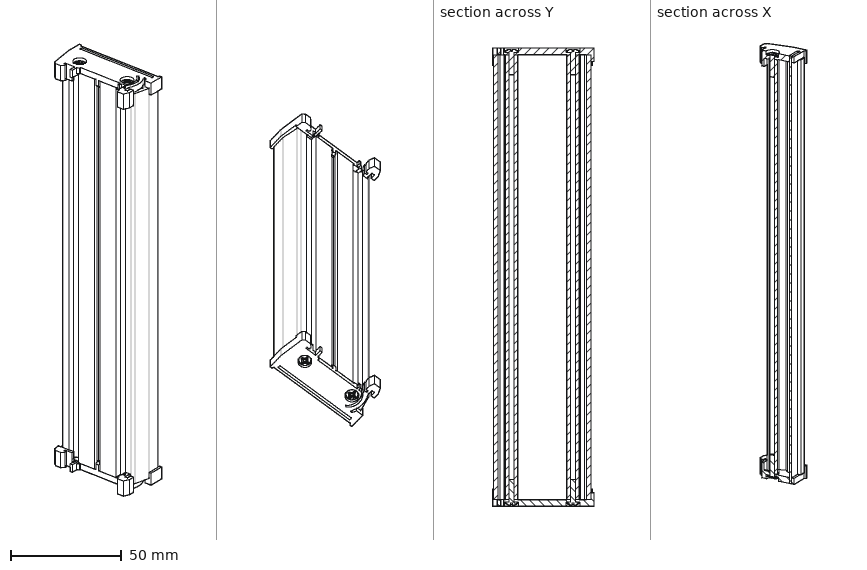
import cadquery as cq


LENGTH = 206.8
HALF_LENGTH = LENGTH / 2
CAP_WIDTH = 48.2
CAP_HALF_WIDTH = CAP_WIDTH / 2
CAP_PLATE = 3.0
PROFILE_END = HALF_LENGTH - CAP_PLATE
SIDE_BEND_Y = -7.7

PROFILE_HALF_WIDTH = 23.0
PROFILE_FOOT_HALF_WIDTH = 20.9
PROFILE_REAR_Y = -0.2
PROFILE_FRONT_Y = -16.5
CORNER_RADIUS = 1.5
WALL = 1.9
LIP_INNER_X = 19.0
LEDGE_FRONT_Y = -7.5
LEDGE_ROOT = (20.7, -9.0)
FLOOR_INNER_Y = -12.5
RECESS_Y = -14.0
RECESS_INNER_X = 11.0
RECESS_OUTER_X = 16.5
RECESS_DRAFT = 0.6
GROOVE_HALF_WIDTH = 0.8
GROOVE_MOUTH_HALF_WIDTH = 1.7
GROOVE_MOUTH_DEPTH = 0.8
GROOVE_DEPTH = 1.9

BOARD_HALF_WIDTH = PROFILE_HALF_WIDTH - WALL
BOARD_REAR_Y = -2.0
BOARD_THICKNESS = 1.2
BOARD_FRONT_Y = BOARD_REAR_Y - BOARD_THICKNESS

SCREW_X = 13.9
SCREW_Y = -12.2
COUNTERBORE_RADIUS = 3.0
COUNTERBORE_DEPTH = 1.9
HEAD_RADIUS = 2.7
HEAD_CROWN_RADIUS = 1.5
HEAD_RIM = 0.6
HEAD_CROWN = 0.6
SHANK_RADIUS = 1.0
SHANK_LENGTH = 10.3
CROSS_LENGTH = 3.7
CROSS_WIDTH = 0.8
CROSS_DEPTH = 0.8
BOSS_RADIUS = 2.9

CAP_REAR_Y = -0.8
CAP_LIP_X = 23.0
CAP_LIP_FOOT_X = 22.5
CAP_FRONT_Y = PROFILE_FRONT_Y
SKIRT_LENGTH = 6.2
FOOT_LENGTH = 7.9
SKIRT_INNER_X = 20.7
HOOK_SIDE_X = -22.1
HOOK_FRONT_Y = -20.9
HOOK_CHAMFER_X = 1.5
HOOK_CHAMFER_Y = 1.0
HOOK_ROOT_X = -17.8
HOOK_UNDERCUT_Y = -18.5
HOOK_TIP_X = -16.3
HOOK_TIP_Y = (-19.5, -18.6)
FOOT_STEP_Y = -17.8
FOOT_END_X = -13.6
FINGER_X = (-12.2, -11.0)
FINGER_LENGTH = 4.0
FINGER_ROOT_X = -9.7
FINGER_ROOT_Y = -17.2
NUB_X = (13.2, 14.3)
NUB_FRONT_Y = -18.0
CLIP_LEFT_X = 16.5
CLIP_RIGHT_X = 22.3
CLIP_FRONT_Y = -23.5
ARM_RIGHT_X = 19.0
ARM_LEFT_X = 16.8
ARM_OUTER_MIDDLE = (20.3, -11.2)
ARM_OUTER_END_Y = -17.2
ARM_INNER_MIDDLE = (18.6, -12.0)
SLOT_PLATE_MIDDLE = (17.5, -12.0)
SLOT_PLATE_X = 16.0
SLOT_END = [(15.5, -6.0), (14.9, -6.6)]
RELIEF = [(20.5, SIDE_BEND_Y), (19.5, -5.5), (18.6, -5.5), (ARM_RIGHT_X, -7.0)]
CLIP_SLOT_X = 20.5
CLIP_SLOT_Y = -20.0
CLIP_NECK_X = 17.8
CLIP_HEAD = [
    (ARM_RIGHT_X, CLIP_SLOT_Y),
    (CLIP_SLOT_X, CLIP_SLOT_Y),
    (CLIP_SLOT_X, FOOT_STEP_Y),
    (CLIP_RIGHT_X, FOOT_STEP_Y),
    (CLIP_RIGHT_X, -20.7),
    (21.0, CLIP_FRONT_Y),
    (17.5, CLIP_FRONT_Y),
    (CLIP_LEFT_X, -21.0),
    (CLIP_LEFT_X, -18.8),
    (CLIP_NECK_X, -18.8),
    (CLIP_NECK_X, NUB_FRONT_Y),
    (CLIP_LEFT_X, NUB_FRONT_Y),
]
TAB_LENGTH = 7.0
TAB_CHAMFER = 1.0
KEY_LENGTH = 4.0
KEY_INNER_X = RECESS_INNER_X + RECESS_DRAFT
KEY_OUTER_X = 14.5


def block(x_range, y_range, z_range):
    """Box between two limits along each axis."""
    size = [high - low for low, high in (x_range, y_range, z_range)]
    corner = (x_range[0], y_range[0], z_range[0])
    return cq.Workplane("XY").box(*size, centered=False).translate(corner)


def mirrored_ring(half):
    """Closed point list from its x > 0 half, given from rear to front."""
    return half + [(-x, y) for x, y in reversed(half)]


def extrude_between(outline, z_low, z_high):
    """Extrude a flat XY outline from one height to another."""
    return outline.extrude(z_high - z_low).translate((0, 0, z_low))


def profile_envelope():
    """Solid outer shape of the profile without its grooves or channel."""
    points = mirrored_ring([
        (PROFILE_HALF_WIDTH, PROFILE_REAR_Y),
        (PROFILE_HALF_WIDTH, SIDE_BEND_Y),
        (PROFILE_FOOT_HALF_WIDTH, PROFILE_FRONT_Y),
    ])
    body = extrude_between(cq.Workplane("XY").polyline(points).close(), -PROFILE_END, PROFILE_END)
    return body.edges("|Z").edges("<Y or >Y").fillet(CORNER_RADIUS)


def channel():
    """Open channel with a slot on each side that holds the board."""
    inner_foot_x = PROFILE_FOOT_HALF_WIDTH - WALL
    outer_floor_y = PROFILE_FRONT_Y + WALL
    points = mirrored_ring([
        (LIP_INNER_X, PROFILE_REAR_Y),
        (LIP_INNER_X, BOARD_REAR_Y),
        (BOARD_HALF_WIDTH, BOARD_REAR_Y),
        (BOARD_HALF_WIDTH, BOARD_FRONT_Y),
        (LIP_INNER_X, BOARD_FRONT_Y),
        (LIP_INNER_X, LEDGE_FRONT_Y),
        LEDGE_ROOT,
        (inner_foot_x, outer_floor_y),
        (RECESS_OUTER_X + RECESS_DRAFT, outer_floor_y),
        (RECESS_OUTER_X, FLOOR_INNER_Y),
    ])
    return extrude_between(cq.Workplane("XY").polyline(points).close(), -PROFILE_END, PROFILE_END)


def floor_grooves():
    """Two wide drafted recesses and the narrow central groove in the front face."""
    recess = [
        (RECESS_INNER_X, PROFILE_FRONT_Y),
        (RECESS_INNER_X + RECESS_DRAFT, RECESS_Y),
        (RECESS_OUTER_X - RECESS_DRAFT, RECESS_Y),
        (RECESS_OUTER_X, PROFILE_FRONT_Y),
    ]
    groove = mirrored_ring([
        (GROOVE_HALF_WIDTH, PROFILE_FRONT_Y + GROOVE_DEPTH),
        (GROOVE_HALF_WIDTH, PROFILE_FRONT_Y + GROOVE_MOUTH_DEPTH),
        (GROOVE_MOUTH_HALF_WIDTH, PROFILE_FRONT_Y),
    ])
    right = extrude_between(cq.Workplane("XY").polyline(recess).close(), -PROFILE_END, PROFILE_END)
    centre = extrude_between(cq.Workplane("XY").polyline(groove).close(), -PROFILE_END, PROFILE_END)
    return right.union(right.mirror("YZ")).union(centre)


def screw_columns(radius, z_low, z_high):
    """Round columns on both screw axes."""
    circles = cq.Workplane("XY").pushPoints([(-SCREW_X, SCREW_Y), (SCREW_X, SCREW_Y)]).circle(radius)
    return extrude_between(circles, z_low, z_high)


def make_profile():
    """Extruded channel with a drilled screw boss in each front corner."""
    body = profile_envelope().cut(channel())
    body = body.union(screw_columns(BOSS_RADIUS, -PROFILE_END, PROFILE_END))
    body = body.cut(floor_grooves())
    return body.cut(screw_columns(SHANK_RADIUS, -PROFILE_END, PROFILE_END))


def make_board():
    """Flat board that runs the full length through both caps."""
    return block(
        (-BOARD_HALF_WIDTH, BOARD_HALF_WIDTH),
        (BOARD_FRONT_Y, BOARD_REAR_Y),
        (-HALF_LENGTH, HALF_LENGTH),
    )


def cap_outline():
    """Cap contour with the rigid hook on the left and the sprung clip on the right."""
    outline = cq.Workplane("XY").moveTo(-CAP_HALF_WIDTH, 0)
    outline = outline.lineTo(-CAP_LIP_X, 0).lineTo(-CAP_LIP_FOOT_X, CAP_REAR_Y)
    outline = outline.lineTo(CAP_LIP_FOOT_X, CAP_REAR_Y).lineTo(CAP_LIP_X, 0)
    outline = outline.lineTo(CAP_HALF_WIDTH, 0).lineTo(CAP_HALF_WIDTH, SIDE_BEND_Y)
    for point in RELIEF:
        outline = outline.lineTo(*point)
    outline = outline.threePointArc(ARM_OUTER_MIDDLE, (ARM_RIGHT_X, ARM_OUTER_END_Y))
    for point in CLIP_HEAD:
        outline = outline.lineTo(*point)
    outline = outline.lineTo(ARM_LEFT_X, CAP_FRONT_Y).threePointArc(ARM_INNER_MIDDLE, SLOT_END[0])
    outline = outline.lineTo(*SLOT_END[1]).threePointArc(SLOT_PLATE_MIDDLE, (SLOT_PLATE_X, CAP_FRONT_Y))
    outline = outline.lineTo(NUB_X[1], CAP_FRONT_Y).lineTo(NUB_X[1], NUB_FRONT_Y)
    outline = outline.lineTo(NUB_X[0], NUB_FRONT_Y).lineTo(NUB_X[0], CAP_FRONT_Y)
    outline = outline.lineTo(FINGER_ROOT_X, CAP_FRONT_Y)
    outline = outline.lineTo(FINGER_ROOT_X, FINGER_ROOT_Y).lineTo(FINGER_X[1], FOOT_STEP_Y)
    outline = outline.lineTo(FINGER_X[1], HOOK_FRONT_Y).lineTo(FINGER_X[0], HOOK_FRONT_Y)
    outline = outline.lineTo(FINGER_X[0], FOOT_STEP_Y).lineTo(HOOK_ROOT_X, FOOT_STEP_Y)
    outline = outline.lineTo(HOOK_ROOT_X, HOOK_UNDERCUT_Y).lineTo(HOOK_TIP_X, HOOK_TIP_Y[1])
    outline = outline.lineTo(HOOK_TIP_X, HOOK_TIP_Y[0]).lineTo(HOOK_ROOT_X, HOOK_FRONT_Y)
    outline = outline.lineTo(HOOK_SIDE_X + HOOK_CHAMFER_X, HOOK_FRONT_Y)
    outline = outline.lineTo(HOOK_SIDE_X, HOOK_FRONT_Y + HOOK_CHAMFER_Y)
    return outline.lineTo(-CAP_HALF_WIDTH, SIDE_BEND_Y).close()


def cap_layer(depth, x_range, y_range):
    """Part of the cap contour inside a rectangle, reaching a depth below the cap's outer face."""
    z_low = HALF_LENGTH - depth
    layer = extrude_between(cap_outline(), z_low, HALF_LENGTH)
    return layer.intersect(block(x_range, y_range, (z_low, HALF_LENGTH)))


def groove_tab():
    """Tongue that locates the cap in the central groove of the profile."""
    tab = block(
        (-GROOVE_HALF_WIDTH, GROOVE_HALF_WIDTH),
        (PROFILE_FRONT_Y, PROFILE_FRONT_Y + GROOVE_DEPTH),
        (HALF_LENGTH - TAB_LENGTH, PROFILE_END),
    )
    return tab.faces("<Z").edges("<Y").chamfer(TAB_CHAMFER)


def make_top_cap(envelope, board):
    """End plate with its side skirts, feet and locating keys."""
    cap = extrude_between(cap_outline(), PROFILE_END, HALF_LENGTH)
    side_y = (CAP_FRONT_Y, 0)
    front_y = (CLIP_FRONT_Y, PROFILE_FRONT_Y)
    key_y = (CAP_FRONT_Y, RECESS_Y)
    layers = [
        cap_layer(SKIRT_LENGTH, (-CAP_HALF_WIDTH, -SKIRT_INNER_X), side_y).cut(envelope),
        cap_layer(SKIRT_LENGTH, (SKIRT_INNER_X, CAP_HALF_WIDTH), side_y).cut(envelope),
        cap_layer(FOOT_LENGTH, (-CAP_HALF_WIDTH, FOOT_END_X), front_y),
        cap_layer(FOOT_LENGTH, (CLIP_LEFT_X, CLIP_RIGHT_X), front_y),
        cap_layer(FINGER_LENGTH, FINGER_X, front_y),
        cap_layer(KEY_LENGTH, (-KEY_OUTER_X, -KEY_INNER_X), key_y),
        cap_layer(KEY_LENGTH, (KEY_INNER_X, KEY_OUTER_X), key_y),
        groove_tab(),
    ]
    for layer in layers:
        cap = cap.union(layer)
    cap = cap.cut(screw_columns(COUNTERBORE_RADIUS, HALF_LENGTH - COUNTERBORE_DEPTH, HALF_LENGTH))
    cap = cap.cut(screw_columns(SHANK_RADIUS, PROFILE_END, HALF_LENGTH))
    return cap.cut(board)


def make_top_screw(x):
    """Screw with a crowned, cross-slotted head, driven down into the profile boss."""
    seat_z = HALF_LENGTH - COUNTERBORE_DEPTH
    rim_z = seat_z + HEAD_RIM
    crown_z = rim_z + HEAD_CROWN
    half_section = [
        (0, seat_z - SHANK_LENGTH),
        (SHANK_RADIUS, seat_z - SHANK_LENGTH),
        (SHANK_RADIUS, seat_z),
        (HEAD_RADIUS, seat_z),
        (HEAD_RADIUS, rim_z),
        (HEAD_CROWN_RADIUS, crown_z),
        (0, crown_z),
    ]
    screw = cq.Workplane("XZ").polyline(half_section).close().revolve(360, (0, 0, 0), (0, 1, 0))
    for size in ((CROSS_LENGTH, CROSS_WIDTH), (CROSS_WIDTH, CROSS_LENGTH)):
        slot = cq.Workplane("XY").rect(*size)
        screw = screw.cut(extrude_between(slot, crown_z - CROSS_DEPTH, crown_z))
    return screw.translate((x, SCREW_Y, 0))


profile = make_profile()
board = make_board()
top_cap = make_top_cap(profile_envelope(), board)
end_caps = [top_cap, top_cap.mirror("XY")]

screws = []
for screw_x in (-SCREW_X, SCREW_X):
    top_screw = make_top_screw(screw_x)
    screws += [top_screw, top_screw.mirror("XY")]

bodies = [profile, board] + end_caps + screws
result = cq.Compound.makeCompound([body.solids().val() for body in bodies])